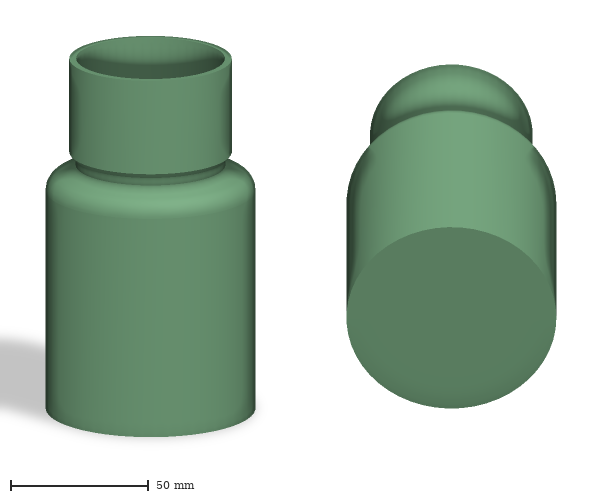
import cadquery as cq
import math

body_radius = 76.2 / 2
collar_radius = 59.0 / 2
bore_radius = 54.0 / 2
neck_radius = 54.4 / 2

total_height = 132.0
collar_bottom = 94.9
neck_bottom = 91.9
body_side_top = 82.4
bore_depth = 33.5

chamfer_width = 1.6
chamfer_height = 1.8
shoulder_round = 7.0
cone_angle = math.radians(22.5)

round_center_radius = body_radius - shoulder_round


def shoulder_point(angle):
    """Point on the shoulder round, at an angle above the horizontal."""
    return (
        round_center_radius + shoulder_round * math.cos(angle),
        body_side_top + shoulder_round * math.sin(angle),
    )


cone_start_angle = math.pi / 2 - cone_angle

profile = (
    cq.Workplane("XZ")
    .lineTo(body_radius, 0)
    .lineTo(body_radius, body_side_top)
    .threePointArc(shoulder_point(cone_start_angle / 2), shoulder_point(cone_start_angle))
    .lineTo(neck_radius, neck_bottom)
    .lineTo(neck_radius, collar_bottom)
    .lineTo(collar_radius - chamfer_width, collar_bottom)
    .lineTo(collar_radius, collar_bottom + chamfer_height)
    .lineTo(collar_radius, total_height)
    .lineTo(0, total_height)
    .close()
)
outer = profile.revolve(360, (0, 0, 0), (0, 1, 0))

bore = (
    cq.Workplane("XY")
    .workplane(offset=total_height - bore_depth)
    .circle(bore_radius)
    .extrude(bore_depth)
)

result = outer.cut(bore)